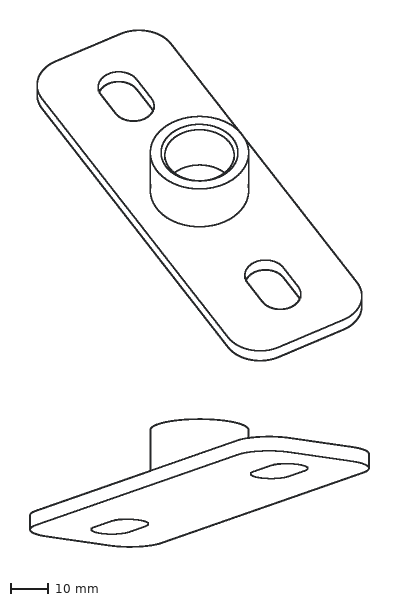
import cadquery as cq

plate_length = 120.0
plate_width = 40.0
plate_thickness = 4.0
corner_radius = 10.0

slot_length = 19.0
slot_width = 11.0
slot_spacing = 79.0

total_height = 19.0
socket_diameter = 26.4
bore_diameter = 18.6
bore_mouth_diameter = 20.6
socket_height = total_height - plate_thickness
mouth_chamfer = (bore_mouth_diameter - bore_diameter) / 2


def make_plate():
    """Rounded plate with its underside on Z = 0 and two through slots."""
    plate = (
        cq.Workplane("XY")
        .rect(plate_length, plate_width)
        .extrude(plate_thickness)
        .edges("|Z")
        .fillet(corner_radius)
    )
    slots = (
        cq.Workplane("XY")
        .rarray(slot_spacing, 1.2, 2, 1)
        .slot2D(slot_length, slot_width)
        .extrude(plate_thickness)
    )
    return plate.cut(slots)


def make_socket():
    """Tube standing on the plate, with a chamfered mouth; the plate closes its bore."""
    tube = (
        cq.Workplane("XY")
        .workplane(offset=plate_thickness)
        .circle(socket_diameter / 2)
        .circle(bore_diameter / 2)
        .extrude(socket_height)
    )
    bore_rim = cq.selectors.RadiusNthSelector(0)
    return tube.faces(">Z").edges(bore_rim).chamfer(mouth_chamfer)


result = make_plate().union(make_socket())